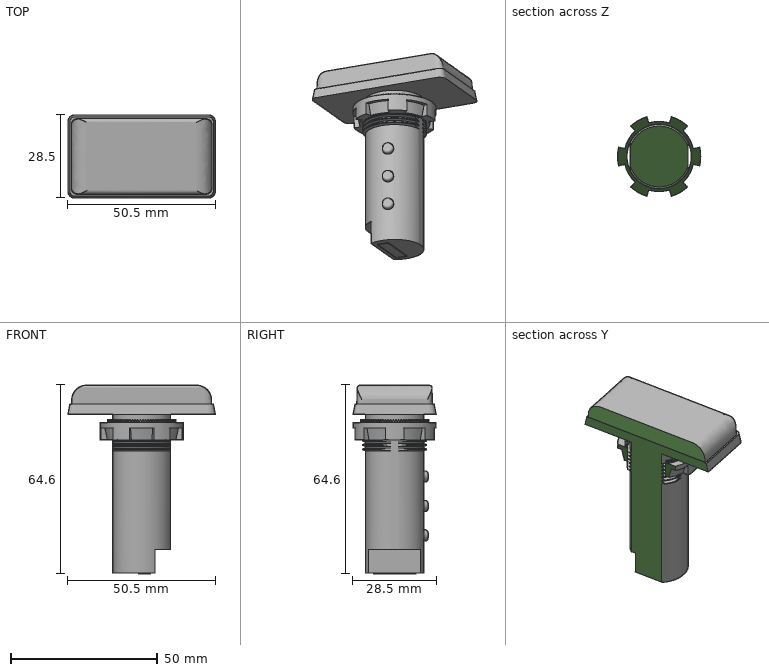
import cadquery as cq
import math

BARREL_BOTTOM = 0.25
NUT_BOTTOM = 45.85
NUT_TOP = 51.75
WASHER_TOP = 52.8
BEZEL_BOTTOM = 54.6
BEZEL_TOP = 58.1
CAP_TOP = 64.6

OVERCUT = 0.65

BEZEL_LENGTH = 50.5
BEZEL_WIDTH = 28.5
BEZEL_CORNER = 2.4
BEZEL_DRAFT = 11.0

CAP_LENGTH = 48.0
CAP_WIDTH = 26.0
CAP_CORNER_X = 2.4
CAP_CORNER_Y = 1.75
CAP_TOP_INSET = 0.2
CAP_END_RADIUS = 5.25
CAP_EDGE_WIDTH = 1.15
CAP_EDGE_DROP = 1.0

BARREL_RADIUS = 10.0
BARREL_ACROSS_FLATS = 19.8
STEP_X = 4.65
STEP_TOP = 8.3
PAD_LENGTH = 4.1
PAD_WIDTH = 14.6
PAD_CENTER_X = 1.0

CREST_RADIUS = 11.0
THREAD_PITCH = 1.5
CREST_FLAT = 0.25
ROOT_FLAT = 0.45
FIRST_CREST = 42.65
THREAD_RINGS = 6
THREAD_ROOTING = 0.3

SCREW_RADIUS = 1.95
SCREW_EDGE_RADIUS = 0.65
SCREW_LENGTH = 3.9
SCREW_TILT = 20.0
SCREW_TOP_X = -2.8
SCREW_TOP_Y = 11.1
LOWEST_SCREW = 13.2
SCREW_SPACING = 10.1
SCREW_COUNT = 3

NUT_RADIUS = 14.245
NOTCH_TOP = 49.9
NOTCH_COUNT = 6
NOTCH_ANGLE = 34.0
NOTCH_START = 30 - NOTCH_ANGLE / 2
NOTCH_FLOOR_TOP_RADIUS = 12.9
NOTCH_FLOOR_BOTTOM_RADIUS = 12.0

WASHER_RADIUS = 11.75
TOOTH_COUNT = 80
TOOTH_DEPTH = 0.8


def cap_outline(plane, inset):
    """Add a rectangle with elliptical corners, drawn in by the given inset."""
    half_length = CAP_LENGTH / 2 - inset
    half_width = CAP_WIDTH / 2 - inset
    flat_x = half_length - CAP_CORNER_X
    flat_y = half_width - CAP_CORNER_Y
    radii = (CAP_CORNER_X, CAP_CORNER_Y)
    return (
        plane.moveTo(-flat_x, -half_width)
        .lineTo(flat_x, -half_width)
        .ellipseArc(*radii, 270, 360, startAtCurrent=True)
        .lineTo(half_length, flat_y)
        .ellipseArc(*radii, 0, 90, startAtCurrent=True)
        .lineTo(-flat_x, half_width)
        .ellipseArc(*radii, 90, 180, startAtCurrent=True)
        .lineTo(-half_length, -flat_y)
        .ellipseArc(*radii, 180, 270, startAtCurrent=True)
        .close()
    )


def rounded_top_bar(plane, half_span, edge_width, edge_drop, length):
    """Bar centred on the plane whose two top edges are quarter ellipses; it flares below them."""
    radii = (edge_width, edge_drop)
    flat = half_span - edge_width
    shoulder = CAP_TOP - edge_drop
    flare = half_span + OVERCUT
    return (
        cq.Workplane(plane)
        .workplane(offset=-length / 2)
        .moveTo(-flare, BEZEL_TOP)
        .lineTo(flare, BEZEL_TOP)
        .lineTo(flare, shoulder)
        .lineTo(half_span, shoulder)
        .ellipseArc(*radii, 0, 90, startAtCurrent=True)
        .lineTo(-flat, CAP_TOP)
        .ellipseArc(*radii, 90, 180, startAtCurrent=True)
        .lineTo(-flare, shoulder)
        .close()
        .extrude(length)
    )


def make_cap():
    """Slightly tapered block with broadly rounded ends and small rounded long edges."""
    height = CAP_TOP - BEZEL_TOP
    base = cap_outline(cq.Workplane("XY", origin=(0, 0, BEZEL_TOP)), 0)
    block = cap_outline(base.workplane(offset=height), CAP_TOP_INSET).loft(ruled=True)

    end_inset = CAP_TOP_INSET * (1 - CAP_END_RADIUS / height)
    edge_inset = CAP_TOP_INSET * (1 - CAP_EDGE_DROP / height)
    end_rounding = rounded_top_bar(
        "XZ", CAP_LENGTH / 2 - end_inset, CAP_END_RADIUS, CAP_END_RADIUS, CAP_WIDTH + 2 * OVERCUT
    )
    edge_rounding = rounded_top_bar(
        "YZ", CAP_WIDTH / 2 - edge_inset, CAP_EDGE_WIDTH, CAP_EDGE_DROP, CAP_LENGTH + 2 * OVERCUT
    )
    return block.intersect(end_rounding).intersect(edge_rounding)


def thread_ring(crest_height):
    """Trapezoidal ridge around the barrel, rooted slightly inside its surface."""
    half_crest = CREST_FLAT / 2
    half_base = (THREAD_PITCH - ROOT_FLAT) / 2
    root = BARREL_RADIUS - THREAD_ROOTING
    profile = [
        (root, crest_height - half_base),
        (BARREL_RADIUS, crest_height - half_base),
        (CREST_RADIUS, crest_height - half_crest),
        (CREST_RADIUS, crest_height + half_crest),
        (BARREL_RADIUS, crest_height + half_base),
        (root, crest_height + half_base),
    ]
    return cq.Workplane("XZ").polyline(profile).close().revolve(360, (0, 0), (0, 1))


def make_screw_head(height):
    """Rounded screw head standing out of the +Y side, tilted towards -X, its root buried in the barrel."""
    return (
        cq.Workplane("XZ")
        .circle(SCREW_RADIUS)
        .extrude(SCREW_LENGTH)
        .faces(">Y")
        .edges()
        .fillet(SCREW_EDGE_RADIUS)
        .rotate((0, 0, 0), (0, 0, 1), SCREW_TILT)
        .translate((SCREW_TOP_X, SCREW_TOP_Y, height))
    )


def make_housing():
    """Bezel frame on a threaded, flatted barrel with a stepped lower end, a bottom pad and screws."""
    bezel = (
        cq.Workplane("XY", origin=(0, 0, BEZEL_BOTTOM))
        .sketch()
        .rect(BEZEL_LENGTH, BEZEL_WIDTH)
        .vertices()
        .fillet(BEZEL_CORNER)
        .finalize()
        .extrude(BEZEL_TOP - BEZEL_BOTTOM, taper=BEZEL_DRAFT)
    )

    barrel_height = BEZEL_BOTTOM - BARREL_BOTTOM
    barrel = cq.Workplane("XY", origin=(0, 0, BARREL_BOTTOM)).circle(BARREL_RADIUS).extrude(barrel_height)
    for ring in range(THREAD_RINGS):
        barrel = barrel.union(thread_ring(FIRST_CREST + ring * THREAD_PITCH))
    between_flats = cq.Workplane("XY").box(
        BARREL_ACROSS_FLATS, BEZEL_WIDTH, BEZEL_BOTTOM, centered=(True, True, False)
    )
    barrel = barrel.intersect(between_flats)

    bottom_step = cq.Workplane("XY", origin=(STEP_X, 0, 0)).box(
        BARREL_RADIUS, BEZEL_WIDTH, STEP_TOP, centered=(False, True, False)
    )
    barrel = barrel.cut(bottom_step)

    pad = cq.Workplane("XY", origin=(PAD_CENTER_X, 0, 0)).box(
        PAD_LENGTH, PAD_WIDTH, BARREL_BOTTOM, centered=(True, True, False)
    )
    housing = bezel.union(barrel).union(pad)
    for screw in range(SCREW_COUNT):
        housing = housing.union(make_screw_head(LOWEST_SCREW + screw * SCREW_SPACING))
    return housing


def make_nut():
    """Round nut with cone-floored finger notches open at its lower face."""
    nut = (
        cq.Workplane("XY", origin=(0, 0, NUT_BOTTOM))
        .circle(NUT_RADIUS)
        .circle(CREST_RADIUS)
        .extrude(NUT_TOP - NUT_BOTTOM)
    )
    beyond = NUT_RADIUS + OVERCUT
    notch_profile = [
        (NOTCH_FLOOR_BOTTOM_RADIUS, NUT_BOTTOM),
        (beyond, NUT_BOTTOM),
        (beyond, NOTCH_TOP),
        (NOTCH_FLOOR_TOP_RADIUS, NOTCH_TOP),
    ]
    notch = (
        cq.Workplane("XZ")
        .polyline(notch_profile)
        .close()
        .revolve(NOTCH_ANGLE, (0, 0), (0, 1))
        .rotate((0, 0, 0), (0, 0, 1), NOTCH_START)
    )
    for index in range(NOTCH_COUNT):
        nut = nut.cut(notch.rotate((0, 0, 0), (0, 0, 1), index * 360 / NOTCH_COUNT))
    return nut


def make_washer():
    """Ring on top of the nut with radial V-shaped teeth on its upper face."""
    washer = (
        cq.Workplane("XY", origin=(0, 0, NUT_TOP))
        .circle(WASHER_RADIUS)
        .circle(CREST_RADIUS)
        .extrude(WASHER_TOP - NUT_TOP)
    )
    half_gap = math.pi * WASHER_RADIUS / TOOTH_COUNT
    gap = (
        cq.Workplane("YZ", origin=(CREST_RADIUS - OVERCUT, 0, 0))
        .polyline([(-half_gap, WASHER_TOP), (0, WASHER_TOP - TOOTH_DEPTH), (half_gap, WASHER_TOP)])
        .close()
        .extrude(WASHER_RADIUS - CREST_RADIUS + 2 * OVERCUT)
    )
    gaps = [
        gap.rotate((0, 0, 0), (0, 0, 1), index * 360 / TOOTH_COUNT).val() for index in range(TOOTH_COUNT)
    ]
    return cq.Workplane(washer.val().cut(*gaps))


cap = make_cap()
housing = make_housing()
nut = make_nut()
washer = make_washer()

result = cq.Compound.makeCompound(
    [*cap.solids().vals(), *housing.solids().vals(), *nut.solids().vals(), *washer.solids().vals()]
)